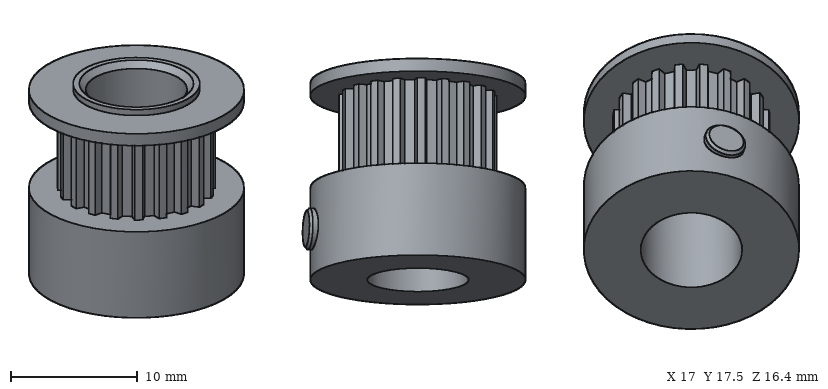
import cadquery as cq
import math

body_diameter = 17.0
hub_height = 7.45
belt_height = 7.45
flange_thickness = 1.03
collar_height = 0.5
collar_diameter = 10.0
bore_diameter = 8.0
bore_chamfer = 0.5

tooth_count = 20
tooth_tip_radius = 6.23
groove_root_radius = 5.56
groove_floor_width = 0.77
tooth_tip_width = 0.63

screw_diameter = 3.29
screw_protrusion = 0.5
screw_chamfer = 0.23

body_radius = body_diameter / 2
bore_radius = bore_diameter / 2
flange_bottom = hub_height + belt_height
flange_top = flange_bottom + flange_thickness
total_height = flange_top + collar_height
screw_height = hub_height / 2
tooth_pitch = 360 / tooth_count


def disc(diameter, bottom, height):
    """Solid cylinder on the pulley axis."""
    return cq.Workplane("XY").workplane(offset=bottom).circle(diameter / 2).extrude(height)


def groove_cutter():
    """Trapezoidal belt groove centred on +X, running past the tooth tips."""
    half_floor = groove_floor_width / 2
    tip_half_angle = math.asin(tooth_tip_width / 2 / tooth_tip_radius)
    mouth_half_angle = math.radians(tooth_pitch / 2) - tip_half_angle
    mouth_x = tooth_tip_radius * math.cos(mouth_half_angle)
    mouth_y = tooth_tip_radius * math.sin(mouth_half_angle)
    outer_x = tooth_tip_radius
    flank_slope = (mouth_y - half_floor) / (mouth_x - groove_root_radius)
    outer_y = mouth_y + flank_slope * (outer_x - mouth_x)
    return (
        cq.Workplane("XY")
        .workplane(offset=hub_height)
        .polyline([
            (groove_root_radius, -half_floor),
            (outer_x, -outer_y),
            (outer_x, outer_y),
            (groove_root_radius, half_floor),
        ])
        .close()
        .extrude(belt_height)
    )


def toothed_section():
    """Cylinder with evenly spaced grooves, one of them facing +X."""
    section = disc(2 * tooth_tip_radius, hub_height, belt_height)
    cutter = groove_cutter()
    for index in range(tooth_count):
        section = section.cut(cutter.rotate((0, 0, 0), (0, 0, 1), index * tooth_pitch))
    return section


def screw_cylinder(inner_y, outer_y):
    """Cylinder of the screw diameter along +Y between two distances from the axis."""
    return (
        cq.Workplane("XZ", origin=(0, inner_y, screw_height))
        .circle(screw_diameter / 2)
        .extrude(inner_y - outer_y)
    )


def make_pulley():
    """Hub, toothed section, flange and collar with a chamfered bore and a screw hole."""
    pulley = disc(body_diameter, 0, hub_height)
    pulley = pulley.union(toothed_section())
    pulley = pulley.union(disc(body_diameter, flange_bottom, flange_thickness))
    pulley = pulley.union(disc(collar_diameter, flange_top, collar_height))
    pulley = pulley.cut(disc(bore_diameter, 0, total_height))
    bore_rim = cq.selectors.RadiusNthSelector(0)
    pulley = pulley.faces(">Z").edges(bore_rim).chamfer(bore_chamfer)
    return pulley.cut(screw_cylinder(0, body_radius))


def make_set_screw():
    """Screw from the bore wall to just proud of the hub, chamfered at its outer end."""
    screw = screw_cylinder(bore_radius, body_radius + screw_protrusion)
    return screw.faces(">Y").chamfer(screw_chamfer)


pulley = make_pulley()
set_screw = make_set_screw()

result = cq.Compound.makeCompound([pulley.val(), set_screw.val()])